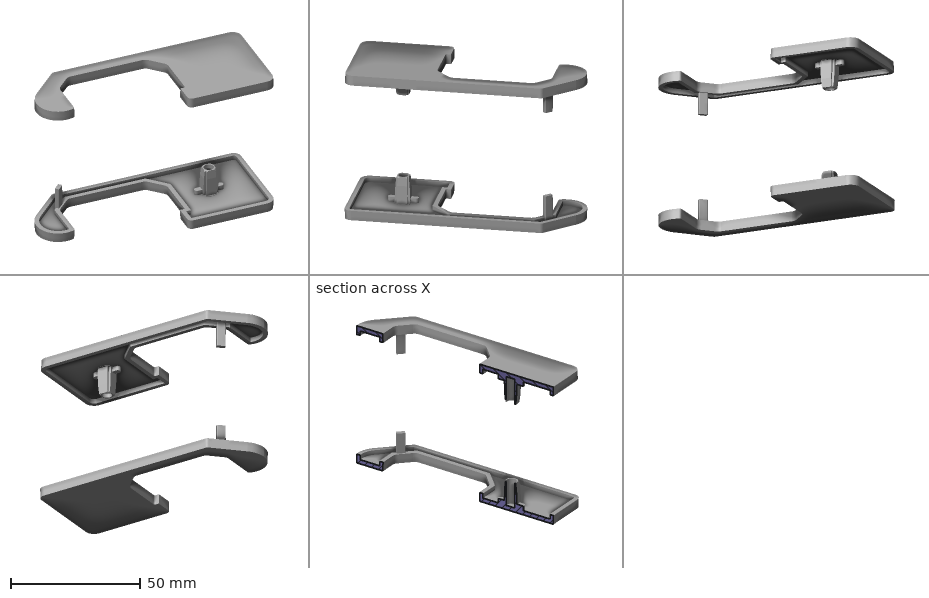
import cadquery as cq
import math

WIDTH = 38.6
LENGTH = 92.6
HEIGHT = 60.0

RIM_HEIGHT = 4.0
FLOOR = 2.0
WALL = 1.85
DRAFT = 2.0

BLOCK_BOTTOM = 55.65
NOTCH_X = 29.7
NOTCH_TOP = 57.7
ARM_WIDTH = 5.6
UPPER_BEVEL = 6.4
HOOK_TOP = 12.7
LOWER_BEVEL = 6.0
HOOK_X = 18.6
HOOK_HEEL_RADIUS = 10.2
HOOK_TIP_RADIUS = 9.1
TIP_MIDDLE = -45.0
HEEL_TANGENT = 225.0
HEEL_MIDDLE = (HEEL_TANGENT + 270.0) / 2

LOWER_SHELL_CORNER = 3.0
UPPER_SHELL_CORNER = 3.9
BACK_CORNER = 3.9
BLOCK_CORNER = 2.0
NOTCH_FILLET = 0.5
BEVEL_FILLET = 2.8
ELBOW_FILLET = 1.7
TIP_FILLET = 0.9

STEP_HEIGHT = 9.4

CROSS_X = 18.7
CROSS_Y = 72.4
CROSS_TOP = 13.0
CROSS_FOOT_SPAN = 6.3
CROSS_STEP_SPAN = 5.65
CROSS_TOP_SPAN = 4.8
ARM_THICKNESS = 4.35
ARM_DRAFT = 1.7
CROSS_TOP_RADIUS = 2.6
CROSS_TRIM_ANGLE = 45.0
CROSS_HOLE = 4.0
LUG_LENGTH = 12.2
LUG_WIDTH = 2.3
PAD_RADIUS = 4.0
PAD_HEIGHT = 0.1

BLADE_X = 8.6
BLADE_Y = 13.5
BLADE_TOP = 12.7
BLADE_LENGTH = 3.6
BLADE_THICKNESS = 1.85
BLADE_ANGLE = -45.0
BLADE_LOWER_DRAFT = 0.2
BLADE_UPPER_DRAFT = 0.5
BLADE_FILLET = 0.3

BLOCK_INNER = (ARM_WIDTH + UPPER_BEVEL, NOTCH_TOP)
ARM_UPPER = (ARM_WIDTH, NOTCH_TOP - UPPER_BEVEL)
ARM_LOWER = (ARM_WIDTH, HOOK_TOP + LOWER_BEVEL)
HOOK_INNER = (ARM_WIDTH + LOWER_BEVEL, HOOK_TOP)
TIP_RISE = HOOK_TOP - HOOK_TIP_RADIUS
TIP = (HOOK_X + math.sqrt(HOOK_TIP_RADIUS ** 2 - TIP_RISE ** 2), HOOK_TOP)
ELBOW = (0, HOOK_X + HOOK_HEEL_RADIUS * (1 - math.sqrt(2)))


def hook_point(radius, angle):
    """Point at an angle in degrees on a hook arc; both arcs touch y = 0 at HOOK_X."""
    a = math.radians(angle)
    return (HOOK_X + radius * math.cos(a), radius * (1 + math.sin(a)))


def outline(z):
    """Closed outline with sharp corners; the heel arc is tangent to the 45 degree edge."""
    return (
        cq.Workplane("XY", origin=(0, 0, z))
        .moveTo(0, LENGTH)
        .lineTo(WIDTH, LENGTH)
        .lineTo(WIDTH, BLOCK_BOTTOM)
        .lineTo(NOTCH_X, BLOCK_BOTTOM)
        .lineTo(NOTCH_X, NOTCH_TOP)
        .lineTo(*BLOCK_INNER)
        .lineTo(*ARM_UPPER)
        .lineTo(*ARM_LOWER)
        .lineTo(*HOOK_INNER)
        .lineTo(*TIP)
        .threePointArc(hook_point(HOOK_TIP_RADIUS, TIP_MIDDLE), (HOOK_X, 0))
        .threePointArc(
            hook_point(HOOK_HEEL_RADIUS, HEEL_MIDDLE),
            hook_point(HOOK_HEEL_RADIUS, HEEL_TANGENT),
        )
        .lineTo(*ELBOW)
        .close()
    )


def rounded_block(base, height, corners):
    """Straight block from an outline, with a fillet at each (point, radius) corner."""
    block = base.extrude(height)
    middle = block.val().Center().z
    for (x, y), radius in corners:
        upright = cq.selectors.NearestToPointSelector((x, y, middle))
        block = block.edges("|Z").edges(upright).fillet(radius)
    return block


def plate(arm_corner):
    """Solid plate with rounded corners; the outer wall is drafted from the rim down."""
    corners = [
        ((0, LENGTH), arm_corner),
        ((WIDTH, LENGTH), BACK_CORNER),
        ((WIDTH, BLOCK_BOTTOM), BLOCK_CORNER),
        ((NOTCH_X, NOTCH_TOP), NOTCH_FILLET),
        (BLOCK_INNER, BEVEL_FILLET),
        (ARM_UPPER, BEVEL_FILLET),
        (ARM_LOWER, BEVEL_FILLET),
        (HOOK_INNER, BEVEL_FILLET),
        (TIP, TIP_FILLET),
        (ELBOW, ELBOW_FILLET),
    ]
    rim = rounded_block(outline(0), RIM_HEIGHT, corners).faces(">Z").wires().val()
    return cq.Workplane("XY").add(rim).toPending().extrude(-RIM_HEIGHT, taper=DRAFT)


def pocket(arm_corner):
    """Recess that leaves a wall of even thickness around the floor."""
    corners = [
        ((WALL, LENGTH - WALL), arm_corner - WALL),
        ((WIDTH - WALL, LENGTH - WALL), BACK_CORNER - WALL),
    ]
    base = outline(FLOOR).offset2D(-WALL, "intersection")
    return rounded_block(base, RIM_HEIGHT - FLOOR, corners)


def cross_arm():
    """Two opposite arms of the cross, along X; their ends lean in more above STEP_HEIGHT."""
    side = [
        (CROSS_FOOT_SPAN / 2, FLOOR),
        (CROSS_STEP_SPAN / 2, STEP_HEIGHT),
        (CROSS_TOP_SPAN / 2, CROSS_TOP),
    ]
    mirrored = [(-x, z) for x, z in reversed(side)]
    ends = cq.Workplane("XZ").polyline(side + mirrored).close().extrude(ARM_THICKNESS, both=True)
    slab = (
        cq.Workplane("XY", origin=(0, 0, FLOOR))
        .rect(2 * CROSS_FOOT_SPAN, ARM_THICKNESS)
        .extrude(CROSS_TOP - FLOOR, taper=ARM_DRAFT)
    )
    return ends.intersect(slab)


def cross_post():
    """Hollow cross-shaped post with two rounded lugs and a thin round pad at its foot."""
    height = CROSS_TOP - FLOOR
    floor = cq.Workplane("XY", origin=(0, 0, FLOOR))
    trim_foot = CROSS_TOP_RADIUS + height * math.tan(math.radians(CROSS_TRIM_ANGLE))
    trim = floor.circle(trim_foot).extrude(height, taper=CROSS_TRIM_ANGLE)
    cross = cross_arm().union(cross_arm().rotate((0, 0, 0), (0, 0, 1), 90)).intersect(trim)
    lugs = floor.slot2D(LUG_LENGTH, LUG_WIDTH, 90).extrude(RIM_HEIGHT - FLOOR)
    pad = floor.circle(PAD_RADIUS).extrude(PAD_HEIGHT)
    hole = floor.circle(CROSS_HOLE / 2).extrude(height)
    post = cross.union(lugs).union(pad).cut(hole)
    return post.translate((CROSS_X, CROSS_Y, 0))


def blade_post():
    """Flat post in the bend of the hook; its draft changes at STEP_HEIGHT."""
    blade = (
        cq.Workplane("XY", origin=(0, 0, FLOOR))
        .sketch()
        .rect(BLADE_LENGTH, BLADE_THICKNESS)
        .vertices()
        .fillet(BLADE_FILLET)
        .finalize()
        .extrude(STEP_HEIGHT - FLOOR, taper=BLADE_LOWER_DRAFT)
        .faces(">Z")
        .wires()
        .toPending()
        .extrude(BLADE_TOP - STEP_HEIGHT, taper=BLADE_UPPER_DRAFT)
    )
    return blade.rotate((0, 0, 0), (0, 0, 1), BLADE_ANGLE).translate((BLADE_X, BLADE_Y, 0))


def shell(arm_corner):
    """One half, open side up."""
    tray = plate(arm_corner).cut(pocket(arm_corner))
    return tray.union(cross_post()).union(blade_post())


lower_shell = shell(LOWER_SHELL_CORNER)
upper_shell = shell(UPPER_SHELL_CORNER).mirror("XY").translate((0, 0, HEIGHT))

result = cq.Compound.makeCompound([lower_shell.val(), upper_shell.val()])